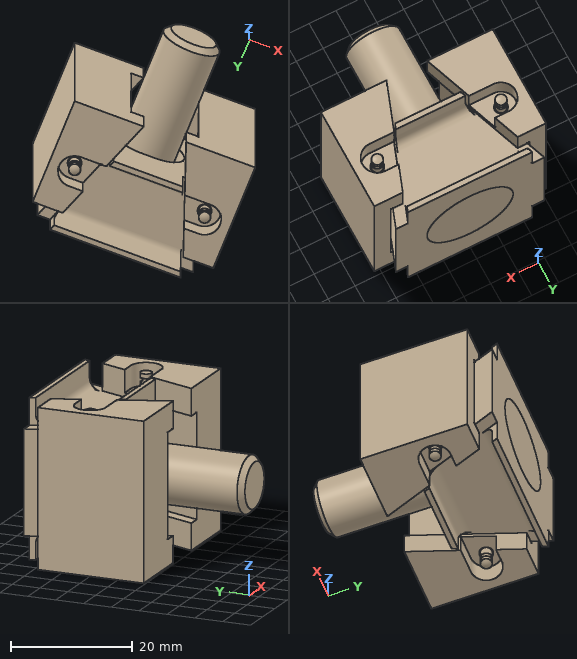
import cadquery as cq
import math


length = 35.5
width = 32.0
height = 28.0
top = height / 2
jaw_depth = 19.0
taper_angle = 20
taper = math.tan(math.radians(taper_angle))

opening_half = 3.75
slot_half = 6.0
slot_height = 18.5

wedge_front = 7.5
wedge_length = 15.0
wedge_back = wedge_front + wedge_length
side_clearance = 0.4
plate_thickness = 1.0
plate_fillet = 2.0

screw_diameter = 10.0
screw_tip = length - wedge_back
screw_chamfer = 1.0
head_diameter = 16.0
head_length = 10.0
screw_hole_height = 10.5
screw_hole_shift = 1.1

pocket_radius = 2.75
pocket_depth = 4.0
pin_x = 11.5
pin_y = 11.5
pin_radius = 1.0
pin_recess = 0.6
pin_crown = 0.25
pin_head = 0.8
pin_groove = 0.43
pin_seat = 3.0
pin_hole_rim = 1.17

pin_end_z = top - pocket_depth - pin_seat


def tapered_block(half_width, y_start, y_end, z_low, z_high):
    """Block centred on X = 0; half_width is its half width at Y = 0, growing toward +Y."""
    half_start = half_width + y_start * taper
    half_end = half_width + y_end * taper
    return (
        cq.Workplane("XY", origin=(0, 0, z_low))
        .polyline([(-half_start, y_start), (half_start, y_start), (half_end, y_end), (-half_end, y_end)])
        .close()
        .extrude(z_high - z_low)
    )


def make_pin():
    """Upper right pin: domed head, round groove and a stem seated in the jaw."""
    crown_z = top - pin_recess
    rim_z = crown_z - pin_crown
    groove_top = rim_z - pin_head
    groove_z = groove_top - pin_groove
    groove_bottom = groove_z - pin_groove
    dome_radius = (pin_radius**2 + pin_crown**2) / (2 * pin_crown)
    dome_half_angle = math.asin(pin_radius / dome_radius) / 2
    dome_middle = (
        dome_radius * math.sin(dome_half_angle),
        crown_z - dome_radius * (1 - math.cos(dome_half_angle)),
    )
    profile = (
        cq.Workplane("XZ")
        .moveTo(0, pin_end_z)
        .lineTo(pin_radius, pin_end_z)
        .lineTo(pin_radius, groove_bottom)
        .threePointArc((pin_radius - pin_groove, groove_z), (pin_radius, groove_top))
        .lineTo(pin_radius, rim_z)
        .threePointArc(dome_middle, (0, crown_z))
        .close()
    )
    return profile.revolve(360, (0, 0, 0), (0, 1, 0)).translate((pin_x, pin_y, 0))


def make_pocket():
    """Upper right pocket: a round-ended slot open toward the wedge, with the pin's hole in its floor."""
    floor_z = top - pocket_depth
    floor = cq.Workplane("XY", origin=(pin_x, pin_y, floor_z))
    pocket = floor.circle(pocket_radius).extrude(pocket_depth)
    channel = floor.center(-pin_x / 2, 0).rect(pin_x, 2 * pocket_radius).extrude(pocket_depth)
    hole = floor.circle(pin_radius).extrude(-pin_seat)
    rim_height = pin_hole_rim - pin_radius
    rim = cq.Workplane("XY").add(
        cq.Solid.makeCone(pin_radius, pin_hole_rim, rim_height, cq.Vector(pin_x, pin_y, floor_z - rim_height))
    )
    return pocket.union(channel).union(hole).union(rim)


def make_jaw():
    """Right jaw."""
    jaw = cq.Workplane("XY").box(width / 2, jaw_depth, height).translate((width / 4, jaw_depth / 2, 0))
    opening = tapered_block(opening_half, 0, jaw_depth, -top, top)
    slot = tapered_block(slot_half, 0, jaw_depth, -slot_height / 2, slot_height / 2)
    pocket = make_pocket()
    return jaw.cut(opening).cut(slot).cut(pocket).cut(pocket.mirror("XY"))


def make_screw_head():
    """Round head of the screw, which also shapes the counterbore in the wedge's back face."""
    return cq.Workplane("XZ", origin=(0, wedge_back, 0)).circle(head_diameter / 2).extrude(head_length)


def make_wedge():
    """Wide tapered core with an end plate front and back, filleted into the core above and below."""
    core_top = slot_height / 2
    core = tapered_block(slot_half - side_clearance, wedge_front, wedge_back, -core_top, core_top)
    plates = tapered_block(opening_half - side_clearance, wedge_front, wedge_back, -top, top)

    channel_length = wedge_length - 2 * plate_thickness
    channel_depth = top - core_top
    channel = (
        cq.Workplane("XY")
        .box(width, channel_length, channel_depth + plate_fillet)
        .edges("|X and <Z")
        .fillet(plate_fillet)
        .translate((0, wedge_front + wedge_length / 2, core_top + (channel_depth + plate_fillet) / 2))
    )
    screw_hole = (
        cq.Workplane("XZ", origin=(0, wedge_back, 0))
        .slot2D(screw_hole_height + 2 * screw_hole_shift, screw_hole_height)
        .extrude(wedge_length)
    )
    wedge_body = plates.cut(channel).cut(channel.mirror("XY")).union(core)
    return wedge_body.cut(screw_hole).cut(make_screw_head())


def make_screw():
    """Head sunk in the wedge and a shank with a chamfered tip in front of the jaws."""
    return (
        make_screw_head()
        .faces("<Y")
        .workplane()
        .circle(screw_diameter / 2)
        .extrude(wedge_back - head_length + screw_tip)
        .faces("<Y")
        .chamfer(screw_chamfer)
    )


right_jaw = make_jaw()
jaws = [right_jaw, right_jaw.mirror("YZ")]

wedge = make_wedge()
screw = make_screw()

upper_right_pin = make_pin()
pins = []
for upper_pin in (upper_right_pin, upper_right_pin.mirror("YZ")):
    pins.append(upper_pin)
    pins.append(upper_pin.mirror("XY"))

result = cq.Compound.makeCompound([body.val() for body in [*jaws, wedge, screw, *pins]])